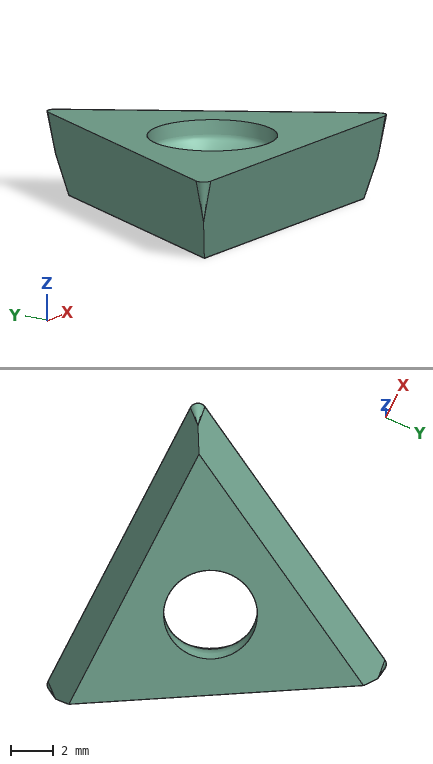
import cadquery as cq
import math

overall_width = 15.92
thickness = 3.96
nose_radius = 0.4
relief_angle = 11.0

bore_diameter = 4.4
recess_diameter = 6.11
recess_depth = 0.73
recess_fillet = 0.4
throat_radius = 3.6

nose_sweep = 120
corner_angles = (90, 210, 330)

relief_slope = math.tan(math.radians(relief_angle))
nose_spacing = overall_width - 2 * nose_radius
nose_center_distance = nose_spacing / math.sqrt(3)
top_inradius = nose_center_distance / 2 + nose_radius
nose_depth = nose_radius / relief_slope


def sharp_triangle_body():
    """Triangle with sharp corners, narrowing downwards at the relief angle."""
    bottom_inradius = top_inradius - thickness * relief_slope
    return (
        cq.Workplane("XY")
        .transformed(rotate=(0, 0, 90))
        .polygon(3, 4 * bottom_inradius)
        .workplane(offset=thickness)
        .polygon(3, 4 * top_inradius)
        .loft(ruled=True)
    )


def nose_tip():
    """Sharp tip of the corner on +X, to be replaced by the nose cone."""
    half_width = nose_radius * math.sin(math.radians(nose_sweep / 2))
    tangent_x = nose_center_distance + nose_radius * math.cos(math.radians(nose_sweep / 2))
    tip_x = nose_center_distance + 2 * nose_radius
    outline = [
        (nose_center_distance, 0),
        (tangent_x, -half_width),
        (tip_x, 0),
        (tangent_x, half_width),
    ]
    return (
        cq.Workplane("XY", origin=(0, 0, thickness - nose_depth))
        .polyline(outline)
        .close()
        .extrude(nose_depth)
    )


def nose_cone():
    """Sector of a cone, point down, rounding the corner on +X."""
    return (
        cq.Workplane("XZ")
        .polyline([(0, -nose_depth), (nose_radius, 0), (0, 0)])
        .close()
        .revolve(nose_sweep, (0, 0, 0), (0, 1, 0))
        .rotate((0, 0, 0), (0, 0, 1), -nose_sweep / 2)
        .translate((nose_center_distance, 0, thickness))
    )


def screw_hole():
    """Through bore, convex throat, concave fillet and straight recess."""
    bore_r = bore_diameter / 2
    recess_r = recess_diameter / 2

    fillet_r = recess_r - recess_fillet
    fillet_z = thickness - recess_depth
    throat_r = bore_r + throat_radius
    center_distance = throat_radius + recess_fillet
    join_angle = math.acos((throat_r - fillet_r) / center_distance)
    throat_z = fillet_z - center_distance * math.sin(join_angle)

    def on_fillet(angle):
        return (fillet_r + recess_fillet * math.cos(angle), fillet_z - recess_fillet * math.sin(angle))

    def on_throat(angle):
        return (throat_r - throat_radius * math.cos(angle), throat_z + throat_radius * math.sin(angle))

    return (
        cq.Workplane("XZ")
        .lineTo(bore_r, 0)
        .lineTo(bore_r, throat_z)
        .threePointArc(on_throat(join_angle / 2), on_throat(join_angle))
        .threePointArc(on_fillet(join_angle / 2), on_fillet(0))
        .lineTo(recess_r, thickness)
        .lineTo(0, thickness)
        .close()
        .revolve(360, (0, 0, 0), (0, 1, 0))
    )


result = sharp_triangle_body()
for corner_angle in corner_angles:
    tip = nose_tip().rotate((0, 0, 0), (0, 0, 1), corner_angle)
    cone = nose_cone().rotate((0, 0, 0), (0, 0, 1), corner_angle)
    result = result.cut(tip).union(cone)
result = result.cut(screw_hole())